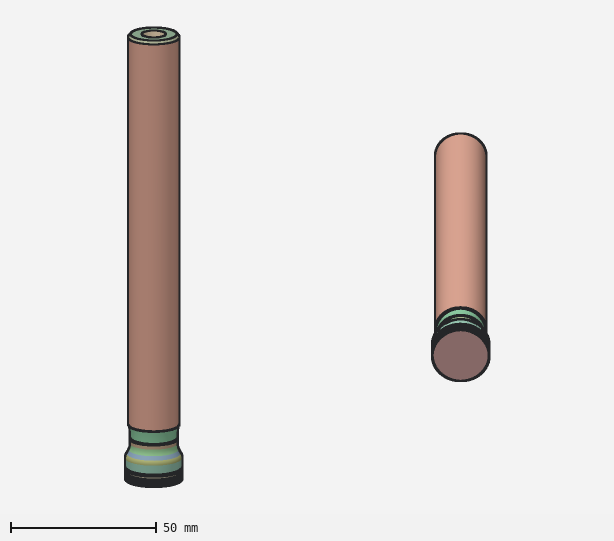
import cadquery as cq
import math

total_length = 160.0

shank_diameter = 18.0
shank_bottom = 19.5
top_chamfer_height = 1.1
top_chamfer_width = 1.0
bottom_chamfer = 0.3

hole_diameter = 6.0
hole_depth = 16.0
mouth_diameter = 8.3
mouth_depth = 2.1
drill_point_angle = 118.0

head_diameter = 20.0
head_edge_chamfer = 0.3
shoulder_height = 7.7
flare_cone_bottom = 9.3
flare_cone_bottom_diameter = 18.7
flare_cone_top = 10.7
flare_cone_top_diameter = 17.5
neck_diameter = 16.6
neck_bottom = 13.0
neck_taper_bottom = 15.0
neck_top_diameter = 17.1

head_groove_diameter = 19.5
head_groove_width = 0.5
head_groove_heights = [1.0, 2.2]
wide_groove_width = 0.6
wide_groove_height = 3.8
neck_groove_diameter = 16.3
neck_groove_width = 0.5
neck_groove_height = neck_taper_bottom - neck_groove_width


def make_shank():
    """Plain round bar with bevelled ends and a countersunk blind hole."""
    shank = (
        cq.Workplane("XY")
        .workplane(offset=shank_bottom)
        .circle(shank_diameter / 2)
        .extrude(total_length - shank_bottom)
        .faces(">Z").chamfer(top_chamfer_height, top_chamfer_width)
        .faces("<Z").chamfer(bottom_chamfer)
    )
    return shank.cut(make_hole())


def make_hole():
    """Revolved cutter: tapered mouth, straight bore and drill point."""
    hole_radius = hole_diameter / 2
    point_depth = hole_radius / math.tan(math.radians(drill_point_angle / 2))
    bore_bottom = total_length - hole_depth
    return (
        cq.Workplane("XZ")
        .moveTo(0, total_length)
        .lineTo(mouth_diameter / 2, total_length)
        .lineTo(hole_radius, total_length - mouth_depth)
        .lineTo(hole_radius, bore_bottom)
        .lineTo(0, bore_bottom - point_depth)
        .close()
        .revolve(360, (0, 0, 0), (0, 1, 0))
    )


def make_groove(outer_diameter, floor_diameter, height, width):
    """Ring cutter of rectangular section, with its lower wall at the given height."""
    return (
        cq.Workplane("XY")
        .workplane(offset=height)
        .circle(outer_diameter / 2)
        .circle(floor_diameter / 2)
        .extrude(width)
    )


def make_head():
    """Wide head that flares up into a narrower neck under the shank."""
    head_radius = head_diameter / 2
    neck_radius = neck_diameter / 2
    head = (
        cq.Workplane("XZ")
        .lineTo(head_radius - head_edge_chamfer, 0)
        .lineTo(head_radius, head_edge_chamfer)
        .lineTo(head_radius, shoulder_height)
        .tangentArcPoint((flare_cone_bottom_diameter / 2, flare_cone_bottom), relative=False)
        .lineTo(flare_cone_top_diameter / 2, flare_cone_top)
        .tangentArcPoint((neck_radius, neck_bottom), relative=False)
        .lineTo(neck_radius, neck_taper_bottom)
        .tangentArcPoint((neck_top_diameter / 2, shank_bottom), relative=False)
        .lineTo(0, shank_bottom)
        .close()
        .revolve(360, (0, 0, 0), (0, 1, 0))
    )
    for height in head_groove_heights:
        head = head.cut(make_groove(head_diameter, head_groove_diameter, height, head_groove_width))
    head = head.cut(make_groove(head_diameter, head_groove_diameter, wide_groove_height, wide_groove_width))
    return head.cut(make_groove(neck_diameter, neck_groove_diameter, neck_groove_height, neck_groove_width))


shank = make_shank()
head = make_head()

result = cq.Compound.makeCompound([shank.val(), head.val()])